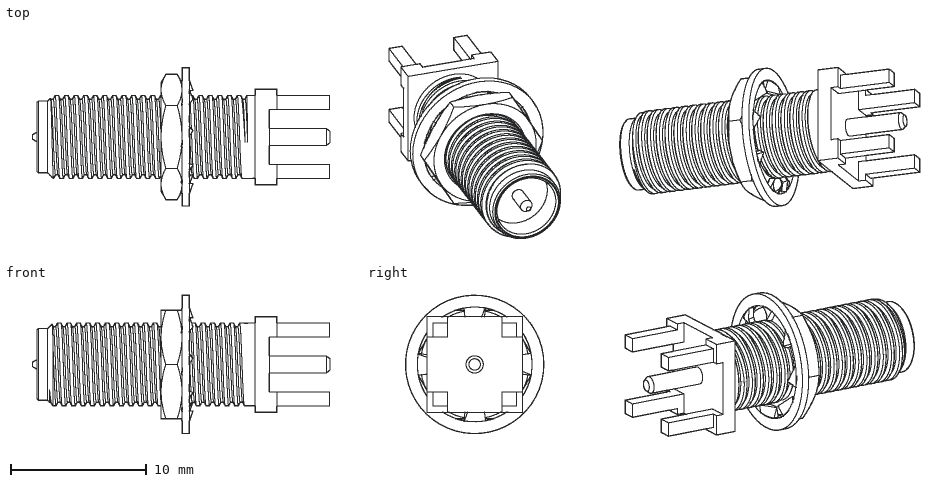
import cadquery as cq
import math


BARREL_RADIUS = 3.06
NOSE_RADIUS = 2.65
NOSE_FACE_X = -16.07
SHOULDER_X = -15.27
NOSE_CHAMFER = 0.12

SOCKET_RADIUS = 2.3
SOCKET_DEPTH = 2.0
SOCKET_CHAMFER = 0.15

PITCH = 25.4 / 36
GROOVE_DEPTH = 0.27
GROOVE_ROOT_WIDTH = 0.18
GROOVE_MOUTH_WIDTH = 0.45
FULL_TURNS = 20.75
RUNOUT_TURNS = 0.3
RUNOUT_LIFT = 0.3
GROOVE_START_X = -15.48
GROOVE_CLEARANCE = 0.2

FRONT_PIN_RADIUS = 0.45
FRONT_TIP_RADIUS = 0.17
FRONT_TIP_LENGTH = 0.5
FRONT_TIP_X = -16.39
REAR_PIN_RADIUS = 0.635
REAR_PIN_END_X = 5.51
REAR_CHAMFER_LENGTH = 0.28
REAR_CHAMFER_RADIAL = 0.215

FLANGE_SIZE = 7.04
FLANGE_THICKNESS = 1.6
FLANGE_WEB_THICKNESS = 1.04
LEG_OUTER_SPAN = 2 * BARREL_RADIUS
LEG_INNER_SPAN = 4.03
LEG_END_X = 5.47

HEX_SIDES = 6
NUT_ACROSS_FLATS = 8.0
NUT_THICKNESS = 1.55
NUT_CHAMFER_ANGLE = 30
NUT_BORE_CHAMFER = 0.12

WASHER_RADIUS = 5.1
WASHER_HOLE_RADIUS = 4.22
WASHER_THICKNESS = 0.54
WASHER_FRONT_X = -5.38
TOOTH_COUNT = 8
TOOTH_ROOT_RADIUS = 4.4
TOOTH_THICKNESS = 0.4
TOOTH_TIP_RADIUS = 3.42
TOOTH_ROOT_WIDTH = 1.7
TOOTH_TIP_WIDTH = 1.4
TOOTH_TWIST = 32

NUT_FRONT_X = WASHER_FRONT_X - NUT_THICKNESS


def revolve_about_x(points):
    """Revolve a closed (x, radius) outline about the X axis."""
    return cq.Workplane("XY").polyline(points).close().revolve(360, (0, 0, 0), (1, 0, 0))


def cylinder(radius, start_x, end_x):
    return cq.Workplane("YZ", origin=(start_x, 0, 0)).circle(radius).extrude(end_x - start_x)


def make_barrel():
    shoulder_rise = BARREL_RADIUS - NOSE_RADIUS
    floor_x = NOSE_FACE_X + SOCKET_DEPTH
    return revolve_about_x([
        (0, 0),
        (floor_x, 0),
        (floor_x, SOCKET_RADIUS),
        (NOSE_FACE_X + SOCKET_CHAMFER, SOCKET_RADIUS),
        (NOSE_FACE_X, SOCKET_RADIUS + SOCKET_CHAMFER),
        (NOSE_FACE_X, NOSE_RADIUS - NOSE_CHAMFER),
        (NOSE_FACE_X + NOSE_CHAMFER, NOSE_RADIUS),
        (SHOULDER_X, NOSE_RADIUS),
        (SHOULDER_X + shoulder_rise, BARREL_RADIUS),
        (0, BARREL_RADIUS),
    ])


def sweep_groove(turns, end_lift):
    """Sweep the groove section along a helix about Z that starts on +X.

    Over the given turns the groove rises outward by end_lift.
    """
    length = turns * PITCH
    root = BARREL_RADIUS - GROOVE_DEPTH
    top = BARREL_RADIUS + GROOVE_CLEARANCE
    flank_slope = (GROOVE_MOUTH_WIDTH - GROOVE_ROOT_WIDTH) / 2 / GROOVE_DEPTH
    half_root = GROOVE_ROOT_WIDTH / 2
    half_top = half_root + flank_slope * (top - root)
    if end_lift:
        taper = math.atan2(end_lift, length)
        slant = 1 / math.cos(taper)
        path = cq.Wire.makeHelix(PITCH * slant, length * slant, root, angle=math.degrees(taper))
    else:
        path = cq.Wire.makeHelix(PITCH, length, root)
    section = cq.Workplane("XZ").polyline(
        [(root, -half_root), (top, -half_top), (top, half_top), (root, half_root)]
    ).close()
    return section.sweep(cq.Workplane(path), isFrenet=True)


def lay_along_barrel(groove):
    """Turn the helix axis from Z to X, with the start of the groove at +Z, and move it into place."""
    turned = groove.rotate((0, 0, 0), (0, 1, 0), 90).rotate((0, 0, 0), (1, 0, 0), 180)
    return turned.translate((GROOVE_START_X, 0, 0))


def make_full_groove():
    return lay_along_barrel(sweep_groove(FULL_TURNS, 0))


def make_groove_runout():
    """Last part of the groove, which climbs out of the barrel next to the flange."""
    runout = sweep_groove(RUNOUT_TURNS, RUNOUT_LIFT)
    runout = runout.rotate((0, 0, 0), (0, 0, 1), 360 * FULL_TURNS)
    return lay_along_barrel(runout.translate((0, 0, FULL_TURNS * PITCH)))


def make_contact():
    return revolve_about_x([
        (FRONT_TIP_X, 0),
        (FRONT_TIP_X, FRONT_TIP_RADIUS),
        (FRONT_TIP_X + FRONT_TIP_LENGTH, FRONT_PIN_RADIUS),
        (0, FRONT_PIN_RADIUS),
        (0, REAR_PIN_RADIUS),
        (REAR_PIN_END_X - REAR_CHAMFER_LENGTH, REAR_PIN_RADIUS),
        (REAR_PIN_END_X, REAR_PIN_RADIUS - REAR_CHAMFER_RADIAL),
        (REAR_PIN_END_X, 0),
    ])


def make_flange():
    """Square plate relieved at the back by a cross-shaped channel, with a square leg at each corner."""
    plate = cq.Workplane("YZ").rect(FLANGE_SIZE, FLANGE_SIZE).extrude(FLANGE_THICKNESS)
    channel = cq.Workplane("YZ", origin=(FLANGE_WEB_THICKNESS, 0, 0))
    relief_depth = FLANGE_THICKNESS - FLANGE_WEB_THICKNESS
    plate = plate.cut(channel.rect(LEG_INNER_SPAN, FLANGE_SIZE).extrude(relief_depth))
    plate = plate.cut(channel.rect(FLANGE_SIZE, LEG_INNER_SPAN).extrude(relief_depth))
    leg_width = (LEG_OUTER_SPAN - LEG_INNER_SPAN) / 2
    leg_spacing = LEG_OUTER_SPAN - leg_width
    legs = channel.rect(leg_spacing, leg_spacing, forConstruction=True).vertices()
    return plate.union(legs.rect(leg_width, leg_width).extrude(LEG_END_X - FLANGE_WEB_THICKNESS))


def make_nut():
    """Hexagon with flats at +Z and -Z.

    Both ends are turned down conically to the flats, and the front of the bore is chamfered.
    """
    flat_radius = NUT_ACROSS_FLATS / 2
    corner_diameter = NUT_ACROSS_FLATS / math.cos(math.pi / HEX_SIDES)
    corner_radius = corner_diameter / 2
    hexagon = cq.Workplane("YZ", origin=(NUT_FRONT_X, 0, 0)).polygon(HEX_SIDES, corner_diameter)
    chamfer_length = (corner_radius - flat_radius) * math.tan(math.radians(NUT_CHAMFER_ANGLE))
    envelope = revolve_about_x([
        (NUT_FRONT_X, 0),
        (NUT_FRONT_X, flat_radius),
        (NUT_FRONT_X + chamfer_length, corner_radius),
        (WASHER_FRONT_X - chamfer_length, corner_radius),
        (WASHER_FRONT_X, flat_radius),
        (WASHER_FRONT_X, 0),
    ])
    bore_chamfer = revolve_about_x([
        (NUT_FRONT_X, 0),
        (NUT_FRONT_X, BARREL_RADIUS + NUT_BORE_CHAMFER),
        (NUT_FRONT_X + NUT_BORE_CHAMFER, BARREL_RADIUS),
        (NUT_FRONT_X + NUT_BORE_CHAMFER, 0),
    ])
    return hexagon.extrude(NUT_THICKNESS).intersect(envelope).cut(bore_chamfer)


def make_tooth(angle):
    """Inward washer tooth, twisted about its radial centre line; angle 0 is -Y and 90 is +Z."""
    middle_x = WASHER_FRONT_X + WASHER_THICKNESS / 2
    root_to_tip = TOOTH_ROOT_RADIUS - TOOTH_TIP_RADIUS
    root_plane = cq.Plane(origin=(middle_x, -TOOTH_ROOT_RADIUS, 0), xDir=(1, 0, 0), normal=(0, 1, 0))
    tooth = (
        cq.Workplane(root_plane)
        .rect(TOOTH_THICKNESS, TOOTH_ROOT_WIDTH)
        .workplane(offset=root_to_tip)
        .transformed(rotate=(0, 0, TOOTH_TWIST))
        .rect(TOOTH_THICKNESS, TOOTH_TIP_WIDTH)
        .loft(ruled=True)
    )
    return tooth.rotate((0, 0, 0), (1, 0, 0), -angle)


def make_washer():
    washer_back_x = WASHER_FRONT_X + WASHER_THICKNESS
    washer = cylinder(WASHER_RADIUS, WASHER_FRONT_X, washer_back_x)
    washer = washer.cut(cylinder(WASHER_HOLE_RADIUS, WASHER_FRONT_X, washer_back_x))
    for index in range(TOOTH_COUNT):
        washer = washer.union(make_tooth(index * 360 / TOOTH_COUNT))
    return washer


result = make_barrel()
result = result.cut(make_full_groove())
result = result.cut(make_groove_runout())
for component in (make_contact(), make_flange(), make_nut(), make_washer()):
    result = result.union(component)